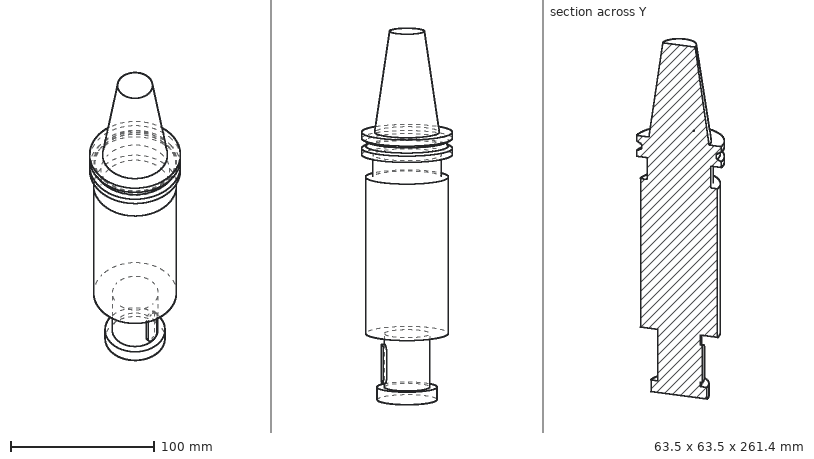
import cadquery as cq
import math

overall_length = 261.4

taper_length = 68.4
gauge_diameter = 44.45
taper_ratio = 7 / 24
small_end_diameter = gauge_diameter - taper_ratio * taper_length

flange_diameter = 63.55
flange_top = -3.2
flange_thickness = 15.9
flange_bottom = flange_top - flange_thickness
large_end_diameter = gauge_diameter - taper_ratio * flange_top
groove_center = -11.1
groove_opening = 7.1
groove_diameter = 56.25
corner_radius = 0.75
groove_flank_angle = 30

neck_diameter = 48.0
neck_length = 15.9
neck_fillet = 0.5
body_diameter = 58.0
body_length = 111.0
body_top = flange_bottom - neck_length
body_bottom = body_top - body_length

pilot_diameter = 32.0
pilot_length = 38.0
head_diameter = 42.0
head_top = body_bottom - pilot_length
head_bottom = taper_length - overall_length

key_width = 8.0
key_length = 28.0
key_top_radius = 17.7
key_height = 7.0
key_gap = 7.0
key_center = body_bottom - key_gap - key_length / 2


def cylinder(diameter, top, bottom):
    """Solid cylinder on the Z axis between two heights."""
    return cq.Workplane("XY", origin=(0, 0, bottom)).circle(diameter / 2).extrude(top - bottom)


def make_taper():
    """Cone from the small end down to the flange."""
    return (
        cq.Workplane("XZ")
        .moveTo(0, flange_top)
        .lineTo(large_end_diameter / 2, flange_top)
        .lineTo(small_end_diameter / 2, taper_length)
        .lineTo(0, taper_length)
        .close()
        .revolve(360, (0, 0), (0, 1))
    )


def make_flange():
    """Disc with a V-groove whose flanks run into a flat floor with quarter-round corners."""
    rim_radius = flange_diameter / 2
    floor_radius = groove_diameter / 2
    flank_foot_radius = floor_radius + corner_radius
    flank_rise = (rim_radius - flank_foot_radius) * math.tan(math.radians(groove_flank_angle))
    rim_half = groove_opening / 2
    foot_half = rim_half - flank_rise
    floor_half = foot_half - corner_radius
    return (
        cq.Workplane("XZ")
        .moveTo(0, flange_bottom)
        .lineTo(rim_radius, flange_bottom)
        .lineTo(rim_radius, groove_center - rim_half)
        .lineTo(flank_foot_radius, groove_center - foot_half)
        .radiusArc((floor_radius, groove_center - floor_half), corner_radius)
        .lineTo(floor_radius, groove_center + floor_half)
        .radiusArc((flank_foot_radius, groove_center + foot_half), corner_radius)
        .lineTo(rim_radius, groove_center + rim_half)
        .lineTo(rim_radius, flange_top)
        .lineTo(0, flange_top)
        .close()
        .revolve(360, (0, 0), (0, 1))
    )


def make_neck_and_body():
    """Neck standing on the larger body, with a fillet in the corner between them."""
    neck = cylinder(neck_diameter, flange_bottom, body_top)
    body = cylinder(body_diameter, body_top, body_bottom)
    neck_circles = neck.union(body).edges(cq.selectors.RadiusNthSelector(0))
    return neck_circles.edges("<Z").fillet(neck_fillet)


def make_key():
    """Round-ended key, long side along Z, partly sunk into the pilot."""
    return (
        cq.Workplane("YZ", origin=(key_top_radius - key_height, 0, key_center))
        .slot2D(key_length, key_width, 90)
        .extrude(key_height)
    )


pilot = cylinder(pilot_diameter, body_bottom, head_top)
head = cylinder(head_diameter, head_top, head_bottom)

holder = make_taper()
for section in (make_flange(), make_neck_and_body(), pilot, head, make_key()):
    holder = holder.union(section)

result = cq.Workplane(holder.solids().val())